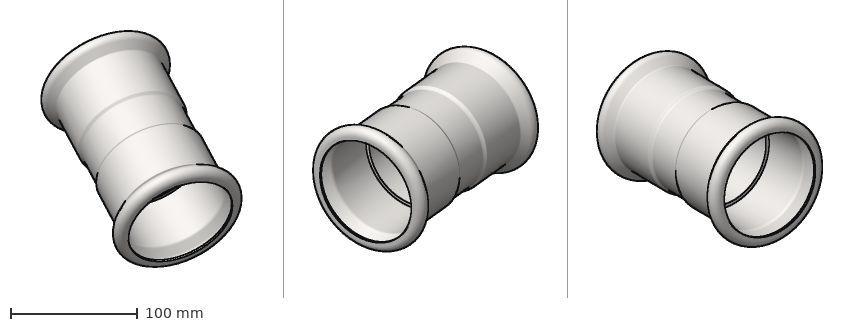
import cadquery as cq
import math

length = 163.0

socket_radius = 92.9 / 2
socket_bore_radius = 88.8 / 2
wall = socket_radius - socket_bore_radius
middle_radius = 44.5
middle_bore_radius = 41.4

bead_radius = 109.0 / 2
crown_radius = 6.8
crown_center_radius = bead_radius - crown_radius
flank_angle = math.radians(45)
blend_end = 18.6

shoulder_start = 62.6
shoulder_end = 66.5
shoulder_round = 0.8
shoulder_drop = socket_radius - middle_radius
shoulder_angle = math.radians(35)


def on_circle(center, radius, angle):
    """Point (x, r) on a circle, with the angle measured from the +r direction toward +x."""
    return (center[0] + radius * math.sin(angle), center[1] + radius * math.cos(angle))


crown_center = (crown_radius, crown_center_radius)
center_run = blend_end - crown_center[0]
center_spread = (
    center_run * math.sin(flank_angle) + (socket_radius - crown_center_radius) * math.cos(flank_angle)
)
blend_radius = (center_spread - crown_radius) / (1 - math.cos(flank_angle))
blend_center = (blend_end, socket_radius + blend_radius)


def blend_point(radius, angle):
    """Point on the concave blend circle, below its center."""
    return on_circle(blend_center, radius, math.pi + angle)


shoulder_length = shoulder_end - shoulder_start
rounds_total = (
    (shoulder_length * math.sin(shoulder_angle) - shoulder_drop * math.cos(shoulder_angle))
    / (1 - math.cos(shoulder_angle))
)
foot_round = rounds_total - shoulder_round
shoulder_center = (shoulder_start, socket_radius - shoulder_round)
foot_center = (shoulder_end, middle_radius + foot_round)

groove_radius = crown_radius - wall
inner_blend_radius = blend_radius + wall


def socket_end():
    """Left socket with its bead and shoulder, from the end face at x = 0, closed by a solid stop."""
    profile = (
        cq.Workplane("XY")
        .moveTo(0, socket_bore_radius)
        .lineTo(0, crown_center_radius)
        .threePointArc(
            on_circle(crown_center, crown_radius, 0),
            on_circle(crown_center, crown_radius, flank_angle),
        )
        .lineTo(*blend_point(blend_radius, flank_angle))
        .threePointArc(blend_point(blend_radius, flank_angle / 2), blend_point(blend_radius, 0))
        .lineTo(shoulder_start, socket_radius)
        .threePointArc(
            on_circle(shoulder_center, shoulder_round, shoulder_angle / 2),
            on_circle(shoulder_center, shoulder_round, shoulder_angle),
        )
        .lineTo(*on_circle(foot_center, foot_round, math.pi + shoulder_angle))
        .threePointArc(
            on_circle(foot_center, foot_round, math.pi + shoulder_angle / 2),
            (shoulder_end, middle_radius),
        )
        .lineTo(shoulder_end, 0)
        .lineTo(shoulder_start, 0)
        .lineTo(shoulder_start, socket_bore_radius)
        .lineTo(blend_end, socket_bore_radius)
        .threePointArc(
            blend_point(inner_blend_radius, flank_angle / 2),
            blend_point(inner_blend_radius, flank_angle),
        )
        .lineTo(*on_circle(crown_center, groove_radius, flank_angle))
        .threePointArc(
            on_circle(crown_center, groove_radius, 0),
            on_circle(crown_center, groove_radius, -math.pi / 2),
        )
        .lineTo(wall, socket_bore_radius)
        .close()
    )
    return profile.revolve(360, (0, 0, 0), (1, 0, 0))


def cylinder_along_x(start, end, radius):
    """Solid cylinder on the X axis between two stations."""
    return cq.Workplane("YZ", origin=(start, 0, 0)).circle(radius).extrude(end - start)


left_end = socket_end()
right_end = left_end.mirror("YZ", (length / 2, 0, 0))
middle = cylinder_along_x(shoulder_end, length - shoulder_end, middle_radius)
bore = cylinder_along_x(0, length, middle_bore_radius)
coupling = left_end.union(middle).union(right_end).cut(bore)
result = coupling.translate((-length / 2, 0, 0))